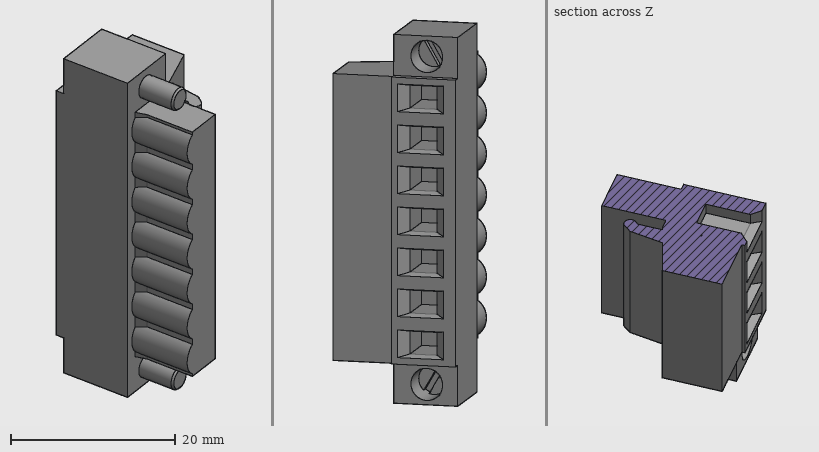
import cadquery as cq
import math


pole_count = 7
total_length = 45.7
pitch = total_length / (pole_count + 2)
row_length = pole_count * pitch
pole_positions = [(i - (pole_count - 1) / 2) * pitch for i in range(pole_count)]

housing_end = 10.6
lower_height = 8.05
overall_height = 15.5
upper_front = 0.4
upper_crest_end = 8.15

flange_front = 1.1
screw_height = 3.9
screw_position = (total_length - pitch) / 2

mouth_height = 4.4
throat_height = 4.3
mouth_size = (5.8, 3.45)
throat_size = (3.45, 2.85)
funnel_depth = 1.15
entry_depth = 6.85

plug_end = 18.85
plug_top = 6.85
plug_floor = 2.0
barrel_bottom = 0.9
barrel_width = 4.3
ramp_length = 1.5
ramp_rise = 0.4

recess_diameter = 4.0
recess_bottom = 7.75
head_diameter = 3.8
head_height = 3.2
slot_width = 0.8
slot_depth = 0.9
slot_angle = 60.0
shank_diameter = 3.0
shank_tip_diameter = 2.6
shank_length = 5.07
shank_chamfer_length = 0.27

latch_inset = 1.0
latch_root_top = 10.8
latch_shoulder = (14.1, 10.1)
latch_bottom = 8.5
latch_bottom_end = 13.62
hook_center = (14.5, 8.8)
hook_diameter = 1.6
hook_start_angle = 38.0
hook_end_angle = -125.0


def centered_prism(outline, length):
    """Extrude an XY outline symmetrically about Z = 0."""
    return outline.extrude(length / 2, both=True)


def block(x_range, y_range, length):
    """Box with the given X and Y ranges, centered on Z = 0."""
    (x0, x1), (y0, y1) = x_range, y_range
    return cq.Workplane("XY").box(x1 - x0, y1 - y0, length, centered=(False, False, True)).translate((x0, y0, 0))


def rod(x_start, length, diameter, z):
    """Cylinder along X on the screw axis."""
    base = cq.Workplane("YZ", origin=(x_start, screw_height, z))
    return base.circle(diameter / 2).extrude(length)


def make_housing():
    lower = block((0, housing_end), (0, lower_height), row_length)
    upper_outline = cq.Workplane("XY").polyline([
        (upper_front, lower_height),
        (housing_end, lower_height),
        (upper_crest_end, overall_height),
        (upper_front, overall_height),
    ]).close()
    flanges = block((flange_front, housing_end), (0, lower_height), total_length)
    return lower.union(centered_prism(upper_outline, row_length)).union(flanges)


def make_wire_entry(z):
    funnel = (
        cq.Workplane("YZ", origin=(0, mouth_height, z))
        .rect(*mouth_size)
        .workplane(offset=funnel_depth)
        .center(throat_height - mouth_height, 0)
        .rect(*throat_size)
        .loft(ruled=True)
    )
    throat = cq.Workplane("YZ", origin=(funnel_depth, throat_height, z)).rect(*throat_size)
    return funnel.union(throat.extrude(entry_depth - funnel_depth))


def make_plug():
    core = block((housing_end, plug_end), (plug_floor, plug_top), row_length)
    ramp_outline = cq.Workplane("XY").polyline([
        (housing_end, plug_floor),
        (housing_end, plug_floor - ramp_rise),
        (housing_end + ramp_length, plug_floor),
    ]).close()
    plug = core.union(centered_prism(ramp_outline, row_length))
    for z in pole_positions:
        barrel = (
            cq.Workplane("YZ", origin=(housing_end, 0, z))
            .moveTo(plug_floor, -barrel_width / 2)
            .threePointArc((barrel_bottom, 0), (plug_floor, barrel_width / 2))
            .close()
            .extrude(plug_end - housing_end)
        )
        plug = plug.union(barrel)
    return plug


def hook_point(angle):
    """Point on the rounded hook at the given angle in degrees."""
    turn = math.radians(angle)
    radius = hook_diameter / 2
    return hook_center[0] + radius * math.cos(turn), hook_center[1] + radius * math.sin(turn)


def make_latch():
    slope = (housing_end - upper_crest_end) / (overall_height - lower_height)
    root_top_x = housing_end - slope * (latch_root_top - lower_height)
    outline = (
        cq.Workplane("XY")
        .moveTo(upper_crest_end, latch_bottom)
        .lineTo(upper_crest_end, latch_root_top)
        .lineTo(root_top_x, latch_root_top)
        .lineTo(*latch_shoulder)
        .lineTo(*hook_point(hook_start_angle))
        .threePointArc(hook_point((hook_start_angle + hook_end_angle) / 2), hook_point(hook_end_angle))
        .lineTo(latch_bottom_end, latch_bottom)
        .close()
    )
    return centered_prism(outline, row_length - 2 * latch_inset)


def make_screw(side):
    """Slotted screw head and chamfered shank; side is +1 or -1 along Z."""
    z = side * screw_position
    head_face = recess_bottom - head_height
    slot = (
        cq.Workplane("YZ", origin=(head_face, screw_height, z))
        .transformed(rotate=(0, 0, side * slot_angle))
        .rect(recess_diameter, slot_width)
        .extrude(slot_depth)
    )
    shank = rod(recess_bottom, housing_end + shank_length - recess_bottom, shank_diameter, z)
    tip_reduction = (shank_diameter - shank_tip_diameter) / 2
    shank = shank.faces(">X").chamfer(shank_chamfer_length, tip_reduction)
    return rod(head_face, head_height, head_diameter, z).cut(slot).union(shank)


result = make_housing().union(make_plug()).union(make_latch())

for z in pole_positions:
    result = result.cut(make_wire_entry(z))

for side in (1, -1):
    recess = rod(flange_front, recess_bottom - flange_front, recess_diameter, side * screw_position)
    result = result.cut(recess).union(make_screw(side))